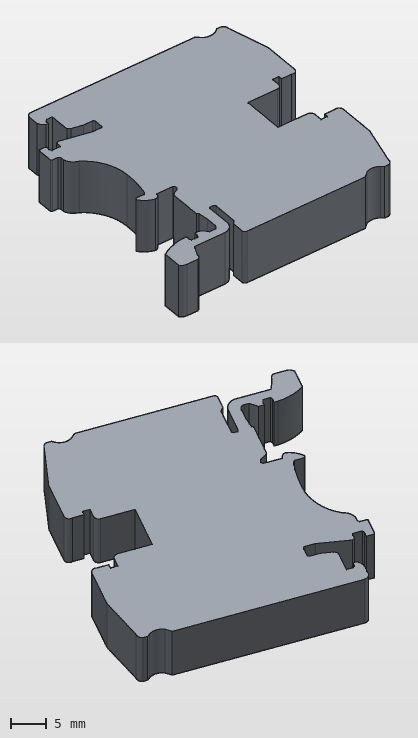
import cadquery as cq


total_width = 41.0
total_height = 39.95
thickness = 9.2
body_width = 39.98
body_middle = body_width / 2
body_bottom = 11.85

recess_half_width = 3.53
recess_floor = 30.1
ledge_level = 36.05
ledge_round = 0.78
notch_half_width = 5.7
notch_top = 37.15
lip_half_width = 5.05
lip_round_width = 0.7
lip_round_height = 1.02

shoulder_flat_end = 8.08
nose_top = (1.2, 38.1)
nose_middle = (0.55, 37.85)
nose_side = (0.3, 37.4)
nose_bottom = 36.7
groove_top = (0.6, 36.3)
groove_deepest = (1.02, 35.18)
groove_bottom = (0.75, 33.95)
shoulder_base = 33.13

hook_bottom = 3.5
hook_wall_end = 4.4
hook_lip_x = 3.53
hook_lip_top = 4.8
hook_root_x = 2.62
hook_roof = 6.1
hook_heel_middle = (0.2, 3.77)
hook_heel_end = 0.65
hook_toe_start = 2.55
hook_toe_middle = (3.05, 3.77)
hook_toe_end = 4.3
hook_lip_inner = 2.95
hook_root_y = 5.1
hook_roof_end = 6.03
slot_mouth = (6.35, 6.65)

slot_left = 6.75
slot_right = 8.75
slot_top = 10.37
slot_bend = 8.53
slot_round = 0.3

foot_left = 7.6
foot_right = 10.55
foot_corner = 0.2
foot_notch_bottom = 1.3
foot_notch_top = 3.0
foot_step = 1.48
foot_barb_y = 3.35
foot_draft_x = 8.32
foot_wall_top = 1.25
foot_step_start = 10.82
foot_step_end = 11.5
foot_sweep_middle = (12.42, 2.05)

arch_start = (13.0, 3.05)
arch_crown = (19.48, 6.6)
arch_end = (24.27, 6.1)
arch_left_middle = (15.65, 5.58)
arch_right_middle = (21.9, 6.5)
tooth_left = 24.55
tooth_wall_top = 5.82
tooth_wall_bottom = 4.45
tooth_tip = (24.8, 4.22)
tooth_tip_end = (25.1, 4.35)
tooth_flank_middle = (25.95, 5.4)
tooth_flank_end = (26.35, 6.48)
tooth_shoulder = (26.15, 7.0)
tooth_root_x = 25.55
tooth_root_y = 7.3

pocket_wall_top = 10.15
pocket_peak = (26.0, 10.4)
pocket_peak_end = (26.4, 10.2)
pocket_slope_end = (26.85, 9.45)
pocket_roof_start = 27.2
pocket_roof = 9.05
pocket_step_x = 32.5
pocket_step_end = (32.68, 9.35)
pocket_taper_end = 34.45
pocket_arm_roof = 9.55
pocket_round_start = 36.15
pocket_round_middle = (36.7, 9.4)
pocket_round_end = 8.95

arm_inner = 36.9
arm_outer = 38.38
jaw_x = 35.9
jaw_draft_x = 36.5
jaw_slope_top = 8.1
jaw_slope_bottom = 7.1
jaw_notch_top = 6.25
jaw_notch_root_top = 6.05
jaw_notch_root_bottom = 4.9
jaw_notch_bottom = 4.75
jaw_wall_bottom = 4.15
latch_flank_middle = (36.35, 1.9)
latch_toe_x = 37.3
latch_corner_x = 40.45
latch_corner_middle = (40.85, 0.45)
latch_corner_top = 1.02
tab_wall_top = 2.95
tab_corner_middle = (40.7, 3.35)
tab_corner_end = (40.15, 3.53)
tab_root_y = 4.35
arm_bend_start = 9.68
arm_bend_middle = (37.95, 10.7)
arm_bend_end = 37.02
arm_top = 11.3

spring_slot_left = 32.45
spring_slot_top = 12.35
spring_slot_round = 0.3
spring_slot_mouth = 36.95
body_corner = 0.5


def upper_half():
    """Left half of the body above the recess floor."""
    recess_side = body_middle - recess_half_width
    notch_side = body_middle - notch_half_width
    lip_side = body_middle - lip_half_width
    return (
        cq.Workplane("XY")
        .moveTo(0, recess_floor)
        .lineTo(0, shoulder_base)
        .lineTo(*groove_bottom)
        .threePointArc(groove_deepest, groove_top)
        .lineTo(nose_side[0], nose_bottom)
        .lineTo(*nose_side)
        .threePointArc(nose_middle, nose_top)
        .lineTo(shoulder_flat_end, total_height)
        .lineTo(lip_side - lip_round_width, total_height)
        .tangentArcPoint((lip_side, total_height - lip_round_height), relative=False)
        .lineTo(lip_side, notch_top)
        .lineTo(notch_side, notch_top)
        .lineTo(notch_side, ledge_level)
        .lineTo(recess_side - ledge_round, ledge_level)
        .tangentArcPoint((recess_side, ledge_level - ledge_round), relative=False)
        .lineTo(recess_side, recess_floor)
        .close()
        .extrude(thickness)
    )


def add_hook_and_slot(outline):
    """Left wall, hook and relief slot, ending at the top of the foot notch."""
    return (
        outline.lineTo(0, hook_wall_end)
        .threePointArc(hook_heel_middle, (hook_heel_end, hook_bottom))
        .lineTo(hook_toe_start, hook_bottom)
        .threePointArc(hook_toe_middle, (hook_lip_x, hook_toe_end))
        .lineTo(hook_lip_x, hook_lip_top)
        .lineTo(hook_lip_inner, hook_lip_top)
        .lineTo(hook_root_x, hook_root_y)
        .lineTo(hook_root_x, hook_roof)
        .lineTo(hook_roof_end, hook_roof)
        .lineTo(*slot_mouth)
        .lineTo(slot_left, slot_bend)
        .lineTo(slot_left, slot_top - slot_round)
        .tangentArcPoint((slot_left + slot_round, slot_top), relative=False)
        .lineTo(slot_right - slot_round, slot_top)
        .tangentArcPoint((slot_right, slot_top - slot_round), relative=False)
        .lineTo(slot_right, slot_bend)
        .lineTo(foot_left, foot_barb_y)
        .lineTo(foot_left + foot_corner, foot_notch_top)
    )


def add_rail_foot(outline):
    """Notched foot and the concave sweep up to the arch."""
    return (
        outline.lineTo(slot_right, foot_notch_top)
        .lineTo(slot_right, foot_step)
        .lineTo(foot_draft_x, foot_notch_bottom)
        .lineTo(foot_left, foot_notch_bottom)
        .lineTo(foot_left, foot_corner)
        .tangentArcPoint((foot_left + foot_corner, 0), relative=False)
        .lineTo(foot_right - foot_corner, 0)
        .tangentArcPoint((foot_right, foot_corner), relative=False)
        .lineTo(foot_right, foot_wall_top)
        .lineTo(foot_step_start, foot_step)
        .lineTo(foot_step_end, foot_step)
        .threePointArc(foot_sweep_middle, arch_start)
    )


def add_arch_and_tooth(outline):
    """Arched underside and the curved tooth at its right end."""
    return (
        outline.threePointArc(arch_left_middle, arch_crown)
        .threePointArc(arch_right_middle, arch_end)
        .lineTo(tooth_left, tooth_wall_top)
        .lineTo(tooth_left, tooth_wall_bottom)
        .threePointArc(tooth_tip, tooth_tip_end)
        .threePointArc(tooth_flank_middle, tooth_flank_end)
        .threePointArc(tooth_shoulder, (tooth_root_x, tooth_root_y))
    )


def add_rail_pocket(outline):
    """Roof of the rail pocket, out to the inner face of the latch arm."""
    return (
        outline.lineTo(tooth_root_x, pocket_wall_top)
        .threePointArc(pocket_peak, pocket_peak_end)
        .lineTo(*pocket_slope_end)
        .lineTo(pocket_roof_start, pocket_roof)
        .lineTo(pocket_step_x, pocket_roof)
        .lineTo(*pocket_step_end)
        .lineTo(pocket_taper_end, pocket_arm_roof)
        .lineTo(pocket_round_start, pocket_arm_roof)
        .threePointArc(pocket_round_middle, (arm_inner, pocket_round_end))
    )


def add_spring_latch(outline):
    """Latch arm with its notched jaw, toe and release tab."""
    return (
        outline.lineTo(arm_inner, jaw_slope_top)
        .lineTo(jaw_x, jaw_slope_bottom)
        .lineTo(jaw_x, jaw_notch_top)
        .lineTo(jaw_draft_x, jaw_notch_top)
        .lineTo(arm_inner, jaw_notch_root_top)
        .lineTo(arm_inner, jaw_notch_root_bottom)
        .lineTo(jaw_draft_x, jaw_notch_bottom)
        .lineTo(jaw_x, jaw_notch_bottom)
        .lineTo(jaw_x, jaw_wall_bottom)
        .threePointArc(latch_flank_middle, (latch_toe_x, 0))
        .lineTo(latch_corner_x, 0)
        .threePointArc(latch_corner_middle, (total_width, latch_corner_top))
        .lineTo(total_width, tab_wall_top)
        .threePointArc(tab_corner_middle, tab_corner_end)
        .lineTo(arm_outer, tab_root_y)
        .lineTo(arm_outer, arm_bend_start)
        .threePointArc(arm_bend_middle, (arm_bend_end, arm_top))
    )


def add_spring_slot(outline):
    """Slot above the latch arm and the lower right corner of the body."""
    return (
        outline.lineTo(spring_slot_left + spring_slot_round, arm_top)
        .tangentArcPoint((spring_slot_left, arm_top + spring_slot_round), relative=False)
        .lineTo(spring_slot_left, spring_slot_top - spring_slot_round)
        .tangentArcPoint((spring_slot_left + spring_slot_round, spring_slot_top), relative=False)
        .lineTo(spring_slot_mouth, spring_slot_top)
        .lineTo(spring_slot_mouth + spring_slot_top - body_bottom, body_bottom)
        .lineTo(body_width - body_corner, body_bottom)
        .tangentArcPoint((body_width, body_bottom + body_corner), relative=False)
    )


def lower_body():
    """Everything below the recess floor, traced from the left wall to the right wall."""
    outline = cq.Workplane("XY").moveTo(0, recess_floor)
    outline = add_hook_and_slot(outline)
    outline = add_rail_foot(outline)
    outline = add_arch_and_tooth(outline)
    outline = add_rail_pocket(outline)
    outline = add_spring_latch(outline)
    outline = add_spring_slot(outline)
    return outline.lineTo(body_width, recess_floor).close().extrude(thickness)


left_shoulder = upper_half()
right_shoulder = left_shoulder.mirror("YZ", (body_middle, 0, 0))
result = lower_body().union(left_shoulder).union(right_shoulder).clean()